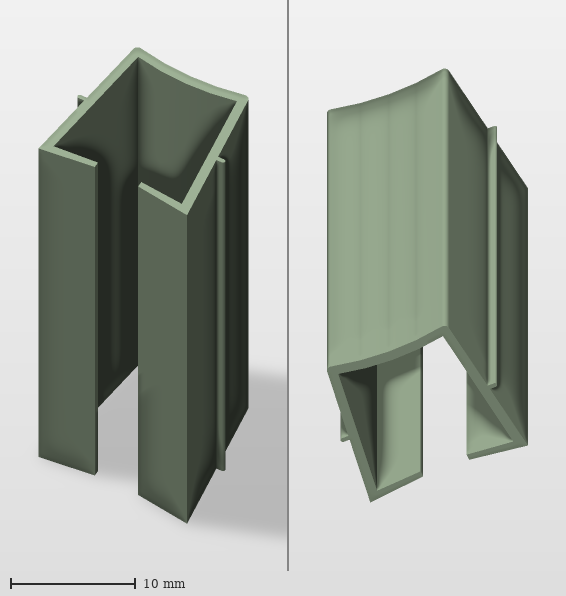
import cadquery as cq

LENGTH = 40.0
BASE_WIDTH = 13.7
DEPTH = 12.95

FRONT_Y = -DEPTH / 2
BACK_CORNER_Y = 6.55
BACK_CORNER_HALF_WIDTH = 5.25
BACK_MIDDLE_Y = 5.95
BACK_CORNER_RADIUS = 0.4

BACK_THICKNESS = 0.85
INNER_BACK_HALF_WIDTH = 4.55
INNER_BACK_Y = 5.6
INNER_FRONT_HALF_WIDTH = 5.9
INNER_FRONT_Y = -5.7

SLOT_HALF_WIDTH = 2.0
LIP_OUTER_Y = -5.9
LIP_INNER_Y = -5.35

RIB_Y = -0.25
RIB_THICKNESS = 0.35
RIB_TIP_X = 6.8
RIB_ROOT_DEPTH = 0.4

outer_half_width = BASE_WIDTH / 2
wall_lean = (outer_half_width - BACK_CORNER_HALF_WIDTH) / (BACK_CORNER_Y - FRONT_Y)


def make_channel():
    """Bent channel with a concave back and an open slot at the front."""
    channel = (
        cq.Workplane("XY")
        .moveTo(-SLOT_HALF_WIDTH, LIP_OUTER_Y)
        .lineTo(-outer_half_width, FRONT_Y)
        .lineTo(-BACK_CORNER_HALF_WIDTH, BACK_CORNER_Y)
        .threePointArc((0, BACK_MIDDLE_Y), (BACK_CORNER_HALF_WIDTH, BACK_CORNER_Y))
        .lineTo(outer_half_width, FRONT_Y)
        .lineTo(SLOT_HALF_WIDTH, LIP_OUTER_Y)
        .lineTo(SLOT_HALF_WIDTH, LIP_INNER_Y)
        .lineTo(INNER_FRONT_HALF_WIDTH, INNER_FRONT_Y)
        .lineTo(INNER_BACK_HALF_WIDTH, INNER_BACK_Y)
        .threePointArc(
            (0, BACK_MIDDLE_Y - BACK_THICKNESS), (-INNER_BACK_HALF_WIDTH, INNER_BACK_Y)
        )
        .lineTo(-INNER_FRONT_HALF_WIDTH, INNER_FRONT_Y)
        .lineTo(-SLOT_HALF_WIDTH, LIP_INNER_Y)
        .close()
        .extrude(LENGTH)
    )
    back_corners = cq.selectors.BoxSelector(
        (-outer_half_width, BACK_CORNER_Y - BACK_CORNER_RADIUS, 0),
        (outer_half_width, BACK_CORNER_Y + BACK_CORNER_RADIUS, LENGTH),
    )
    return channel.edges("|Z").edges(back_corners).fillet(BACK_CORNER_RADIUS)


def wall_x(y):
    """Distance of the outer wall face from the centre plane at the given y."""
    return outer_half_width - wall_lean * (y - FRONT_Y)


def make_rib():
    """Rib on the +X wall, rooted inside the wall with a rounded nose."""
    half = RIB_THICKNESS / 2
    root_x = wall_x(RIB_Y) - RIB_ROOT_DEPTH
    nose_x = RIB_TIP_X - half
    return (
        cq.Workplane("XY")
        .moveTo(root_x, RIB_Y - half)
        .lineTo(nose_x, RIB_Y - half)
        .threePointArc((RIB_TIP_X, RIB_Y), (nose_x, RIB_Y + half))
        .lineTo(root_x, RIB_Y + half)
        .close()
        .extrude(LENGTH)
    )


rib = make_rib()
result = make_channel().union(rib).union(rib.mirror("YZ"))